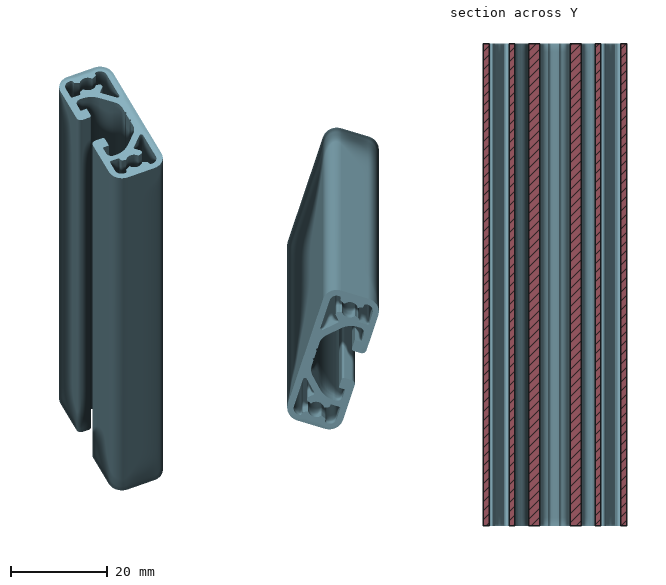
import cadquery as cq
import math

LENGTH = 100.0
WIDTH = 30.0
HEIGHT = 12.0
CORNER_RADIUS = 3.0

HALF_WIDTH = WIDTH / 2
HALF_HEIGHT = HEIGHT / 2

SIDE_WALL = 1.3
TOP_WALL = 1.4
BOTTOM_WALL = 1.3
LIP_FLOOR = 1.6
STRUT_WALL = 1.4

MOUTH_WIDTH = 6.2
LIP_HEIGHT = 3.0
LIP_THICKNESS = 2.4
LIP_RADIUS = 1.0
LIP_TOP_RADIUS = 0.5
SLOT_WIDTH = 16.8
SLOT_CORNER_RADIUS = 1.2
ROOF_Y = 3.8
ROOF_FLAT_WIDTH = 5.2
STRUT_REACH = 7.6
SIDE_ARC_RADIUS = 4.6

GROOVE_X = 1.1
GROOVE_WIDTH = 0.6
GROOVE_DEPTH = 0.3

CHAMBER_INNER_X = 9.5
CHAMBER_RADIUS = 1.5
SCREW_X = 11.5
SCREW_RADIUS = 1.7
CLAW_TIP_DX = 0.9
OUTER_END_DX = 1.4
INNER_END_DX = 1.1
CLAW_END_Y = 2.5
CLAW_TIP_Y = math.sqrt(SCREW_RADIUS**2 - CLAW_TIP_DX**2)
NOSE_RADIUS = 0.6
ROOT_RADIUS = 0.5
STRUT_CORNER_RADIUS = 0.4
VALLEY_RADIUS = 0.3
FLOOR_CORNER_RADIUS = 0.3

STRUT_ANGLE = math.radians(45)
DIAGONAL = math.cos(STRUT_ANGLE)
SIDES = (-1, 1)


def extrude(outline):
    return outline.close().extrude(LENGTH)


def mirrored_pair(solid):
    return solid.union(solid.mirror("YZ"))


def outer_body():
    block = cq.Workplane("XY").rect(WIDTH, HEIGHT).extrude(LENGTH)
    return block.edges("|Z").fillet(CORNER_RADIUS)


def slot_half():
    """Right half of the T-slot space, from the mouth up to the roof."""
    mouth_x = MOUTH_WIDTH / 2
    lip_back_x = mouth_x + LIP_THICKNESS
    lip_top_y = LIP_HEIGHT - HALF_HEIGHT
    floor_y = LIP_FLOOR - HALF_HEIGHT
    wall_x = SLOT_WIDTH / 2

    side_tangent = SIDE_ARC_RADIUS * math.tan(STRUT_ANGLE / 2)
    bend_y = STRUT_REACH - wall_x
    side_arc_end = (wall_x - side_tangent * DIAGONAL, bend_y + side_tangent * DIAGONAL)

    roof_x = ROOF_FLAT_WIDTH / 2
    roof_tangent = STRUT_REACH - ROOF_Y - roof_x
    roof_arc_end = (roof_x + roof_tangent * (1 + DIAGONAL), ROOF_Y - roof_tangent * DIAGONAL)

    half = (
        cq.Workplane("XY")
        .moveTo(0, -HALF_HEIGHT)
        .lineTo(mouth_x + LIP_RADIUS, -HALF_HEIGHT)
        .radiusArc((mouth_x, LIP_RADIUS - HALF_HEIGHT), LIP_RADIUS)
        .lineTo(mouth_x, lip_top_y - LIP_TOP_RADIUS)
        .radiusArc((mouth_x + LIP_TOP_RADIUS, lip_top_y), LIP_TOP_RADIUS)
        .lineTo(lip_back_x, lip_top_y)
        .lineTo(lip_back_x, floor_y)
        .lineTo(wall_x - SLOT_CORNER_RADIUS, floor_y)
        .radiusArc((wall_x, floor_y + SLOT_CORNER_RADIUS), -SLOT_CORNER_RADIUS)
        .lineTo(wall_x, bend_y - side_tangent)
        .radiusArc(side_arc_end, -SIDE_ARC_RADIUS)
        .lineTo(*roof_arc_end)
        .tangentArcPoint((roof_x, ROOF_Y), relative=False)
        .lineTo(0, ROOF_Y)
    )
    return extrude(half)


def roof_groove(x):
    groove = (
        cq.Workplane("XY")
        .moveTo(x - GROOVE_WIDTH / 2, ROOF_Y)
        .lineTo(x + GROOVE_WIDTH / 2, ROOF_Y)
        .lineTo(x, ROOF_Y + GROOVE_DEPTH)
    )
    return extrude(groove)


def chamber():
    """Right hollow chamber with the claws that form the screw channel."""
    ceiling_y = HALF_HEIGHT - TOP_WALL
    floor_y = BOTTOM_WALL - HALF_HEIGHT
    outer_x = HALF_WIDTH - SIDE_WALL
    strut_reach = STRUT_REACH + STRUT_WALL / DIAGONAL

    inner_tip_x = SCREW_X - CLAW_TIP_DX
    outer_tip_x = SCREW_X + CLAW_TIP_DX
    inner_end_x = SCREW_X - INNER_END_DX
    outer_end_x = SCREW_X + OUTER_END_DX

    shoulder_y = CLAW_END_Y - NOSE_RADIUS
    nose_x = inner_end_x - NOSE_RADIUS
    arm_x = nose_x - NOSE_RADIUS * DIAGONAL
    arm_y = shoulder_y + NOSE_RADIUS * DIAGONAL
    valley_y = (strut_reach - arm_x + arm_y) / 2
    valley_x = strut_reach - valley_y

    space = (
        cq.Workplane("XY")
        .moveTo(strut_reach - ceiling_y, ceiling_y)
        .lineTo(outer_x - CHAMBER_RADIUS, ceiling_y)
        .radiusArc((outer_x, ceiling_y - CHAMBER_RADIUS), CHAMBER_RADIUS)
        .lineTo(outer_x, CLAW_END_Y + ROOT_RADIUS)
        .radiusArc((outer_x - ROOT_RADIUS, CLAW_END_Y), ROOT_RADIUS)
        .lineTo(outer_end_x, CLAW_END_Y)
        .lineTo(outer_tip_x, CLAW_TIP_Y)
        .threePointArc((SCREW_X + SCREW_RADIUS, 0), (outer_tip_x, -CLAW_TIP_Y))
        .lineTo(outer_end_x, -CLAW_END_Y)
        .lineTo(outer_x - ROOT_RADIUS, -CLAW_END_Y)
        .radiusArc((outer_x, -CLAW_END_Y - ROOT_RADIUS), ROOT_RADIUS)
        .lineTo(outer_x, floor_y + CHAMBER_RADIUS)
        .radiusArc((outer_x - CHAMBER_RADIUS, floor_y), CHAMBER_RADIUS)
        .lineTo(CHAMBER_INNER_X + FLOOR_CORNER_RADIUS, floor_y)
        .radiusArc((CHAMBER_INNER_X, floor_y + FLOOR_CORNER_RADIUS), FLOOR_CORNER_RADIUS)
        .lineTo(CHAMBER_INNER_X, -CLAW_END_Y)
        .lineTo(nose_x, -CLAW_END_Y)
        .radiusArc((inner_end_x, -shoulder_y), -NOSE_RADIUS)
        .lineTo(inner_tip_x, -CLAW_TIP_Y)
        .threePointArc((SCREW_X - SCREW_RADIUS, 0), (inner_tip_x, CLAW_TIP_Y))
        .lineTo(inner_end_x, shoulder_y)
        .threePointArc((nose_x, CLAW_END_Y), (arm_x, arm_y))
        .lineTo(valley_x, valley_y)
    )
    valley = cq.NearestToPointSelector((valley_x, valley_y, LENGTH / 2))
    solid = extrude(space)
    solid = solid.edges("|Z and <X").fillet(STRUT_CORNER_RADIUS)
    return solid.edges(valley).fillet(VALLEY_RADIUS)


result = outer_body().cut(mirrored_pair(slot_half()))
result = result.cut(mirrored_pair(chamber()))
for side in SIDES:
    result = result.cut(roof_groove(side * GROOVE_X))